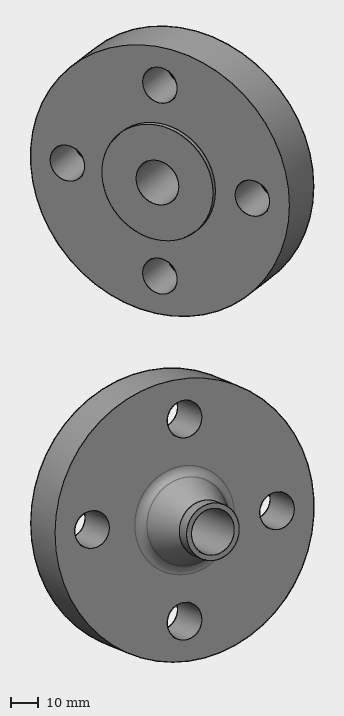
import cadquery as cq

flange_diameter = 105.0
flange_thickness = 20.0
face_diameter = 45.0
face_height = 2.0
bore_diameter = 17.3

overall_length = 45.0
neck_diameter = 21.3
neck_length = 6.0
hub_base_diameter = 35.0
hub_fillet_radius = 4.0

bolt_count = 4
bolt_hole_diameter = 14.0
bolt_circle_diameter = 75.0

flange_back = face_height + flange_thickness
neck_start = overall_length - neck_length


def flange_body():
    """Raised face, disc, tapered hub and weld neck, revolved about Y."""
    body = (
        cq.Workplane("XY")
        .moveTo(0, 0)
        .lineTo(face_diameter / 2, 0)
        .lineTo(face_diameter / 2, face_height)
        .lineTo(flange_diameter / 2, face_height)
        .lineTo(flange_diameter / 2, flange_back)
        .lineTo(hub_base_diameter / 2, flange_back)
        .lineTo(neck_diameter / 2, neck_start)
        .lineTo(neck_diameter / 2, overall_length)
        .lineTo(0, overall_length)
        .close()
        .revolve(360, (0, 0, 0), (0, 1, 0))
    )
    hub_foot = cq.selectors.RadiusNthSelector(1)
    return body.edges(hub_foot).fillet(hub_fillet_radius)


def through_holes():
    """Central bore and evenly spaced bolt holes, cut along Y."""
    bore = cq.Workplane("XZ").circle(bore_diameter / 2).extrude(-overall_length)
    bolts = (
        cq.Workplane("XZ")
        .polarArray(bolt_circle_diameter / 2, 0, 360, bolt_count)
        .circle(bolt_hole_diameter / 2)
        .extrude(-flange_back)
    )
    return bore.union(bolts)


result = flange_body().cut(through_holes())